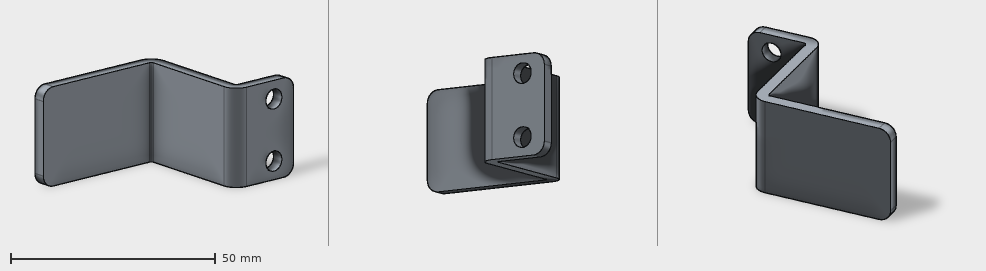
import cadquery as cq

thickness = 3.175
overall_width = 34.29
height = 25.4
long_leg_length = 38.1
short_leg_length = 19.05
inner_bend_radius = 0.7366
corner_radius = 3.175

hole_diameter = 5.1054
hole_end_distance = 6.35
hole_spacing = 15.875

outer_bend_radius = inner_bend_radius + thickness
web_back_y = thickness
long_end_y = web_back_y - long_leg_length
short_end_y = short_leg_length
short_leg_inner_x = overall_width - thickness


def make_bent_strip():
    """Z-shaped strip: long leg, web and short leg, without the bends rounded."""
    return (
        cq.Workplane("XY")
        .moveTo(0, long_end_y)
        .lineTo(thickness, long_end_y)
        .lineTo(thickness, 0)
        .lineTo(overall_width, 0)
        .lineTo(overall_width, short_end_y)
        .lineTo(short_leg_inner_x, short_end_y)
        .lineTo(short_leg_inner_x, web_back_y)
        .lineTo(0, web_back_y)
        .close()
        .extrude(height)
    )


def round_bend(body, inner_corner, outer_corner):
    """Round one bend, with concentric radii on its inner and outer faces."""
    for (x, y), radius in ((inner_corner, inner_bend_radius), (outer_corner, outer_bend_radius)):
        edge_point = (x, y, height / 2)
        body = body.edges(cq.NearestToPointSelector(edge_point)).fillet(radius)
    return body


def round_end_corners(body, end_face):
    """Round the two corners of the leg that ends at the given face."""
    return body.faces(end_face).edges("|X").fillet(corner_radius)


def cut_mounting_holes(body):
    """Two through holes in the short leg, one above the other."""
    hole_y = short_end_y - hole_end_distance
    for side in (-1, 1):
        hole_z = height / 2 + side * hole_spacing / 2
        hole = (
            cq.Workplane("YZ", origin=(short_leg_inner_x, hole_y, hole_z))
            .circle(hole_diameter / 2)
            .extrude(thickness)
        )
        body = body.cut(hole)
    return body


bracket = make_bent_strip()
bracket = round_bend(bracket, (thickness, 0), (0, web_back_y))
bracket = round_bend(bracket, (short_leg_inner_x, web_back_y), (overall_width, 0))
bracket = round_end_corners(bracket, "<Y")
bracket = round_end_corners(bracket, ">Y")
result = cut_mounting_holes(bracket)